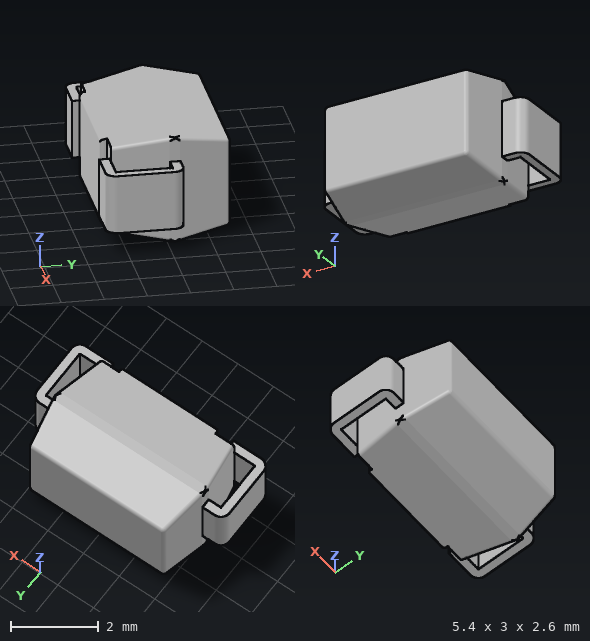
import cadquery as cq
import math

overall_length = 5.4
overall_depth = 3.0
body_length = 4.225
body_height = 2.6
draft_angle = 10.0
edge_radius = 0.1

lead_thickness = 0.245
lead_width = 1.415
foot_length = 1.015
lead_top = 1.805

pad_length = 2.715
pad_face = 0.095

band_front = lead_top - lead_thickness
body_front = lead_thickness
draft_slope = math.tan(math.radians(draft_angle))


def block_along_y(length, height, start, depth, taper=0):
    """Rectangular block centred on X and Z; a negative depth extrudes toward -Y."""
    direction = 1 if depth > 0 else -1
    plane = cq.Plane(origin=(0, start, 0), xDir=(1, 0, 0), normal=(0, direction, 0))
    return cq.Workplane(plane).rect(length, height).extrude(abs(depth), taper=taper)


def drafted_envelope(small_end, band_edge, large_end):
    """Wedge with rounded corners that reaches the full body size at band_edge."""
    growth = 2 * abs(large_end - band_edge) * draft_slope
    envelope = block_along_y(
        body_length + growth, body_height + growth, large_end, small_end - large_end, draft_angle
    )
    return envelope.edges("not(|X or |Z)").fillet(edge_radius)


def make_body():
    """Two drafted halves meeting at a parting band, where the corner rounds run out."""
    body_depth = overall_depth - body_front
    core = block_along_y(body_length, body_height, body_front, body_depth)
    front = drafted_envelope(body_front, band_front, overall_depth)
    back = drafted_envelope(overall_depth, lead_top, body_front)
    back = back.faces(">Y").edges().fillet(edge_radius)
    return core.intersect(front).intersect(back)


def make_pad():
    """Straight-ended pad whose long sides continue the draft of the body, rounded around its face."""
    half_base = body_height / 2
    half_face = half_base - (band_front - pad_face) * draft_slope
    pad = (
        cq.Workplane("YZ")
        .moveTo(band_front, -half_base)
        .lineTo(pad_face, -half_face)
        .lineTo(pad_face, half_face)
        .lineTo(band_front, half_base)
        .close()
        .extrude(pad_length / 2, both=True)
    )
    return pad.faces("<Y").edges().fillet(edge_radius)


def make_lead():
    """Left lead: a C-shaped strip with rounded outer bends, ending in the body."""
    outer_x = -overall_length / 2
    inner_x = outer_x + lead_thickness
    foot_end = outer_x + foot_length
    arm_end = -body_length / 2 + lead_thickness
    lead = (
        cq.Workplane("XY")
        .moveTo(arm_end, lead_top)
        .lineTo(outer_x, lead_top)
        .lineTo(outer_x, 0)
        .lineTo(foot_end, 0)
        .lineTo(foot_end, lead_thickness)
        .lineTo(inner_x, lead_thickness)
        .lineTo(inner_x, band_front)
        .lineTo(arm_end, band_front)
        .close()
        .extrude(lead_width / 2, both=True)
    )
    return lead.edges("|Z and <X").fillet(lead_thickness)


left_lead = make_lead()
right_lead = left_lead.mirror("YZ")
result = make_body().union(make_pad()).union(left_lead).union(right_lead)